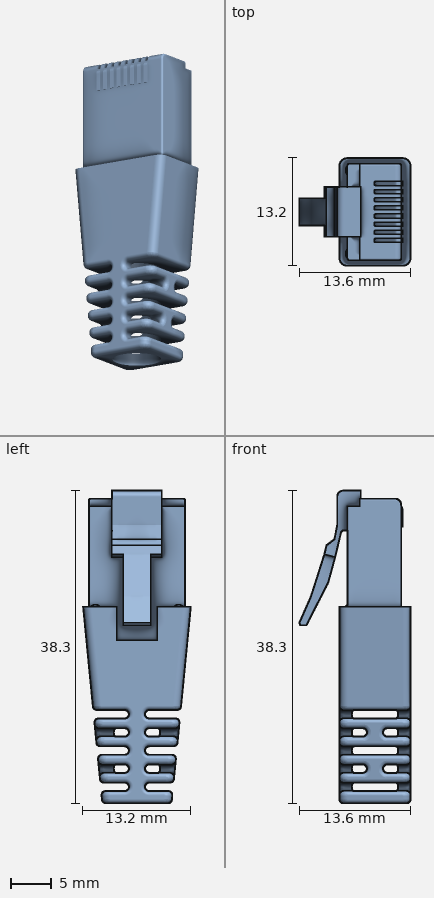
import cadquery as cq


BOOT_DEPTH = 8.72
BOOT_BASE_WIDTH = 8.5
BOOT_TOP_WIDTH = 13.2
BOOT_HEIGHT = 24.05
BOOT_CORNER = 1.0
NOTCH_WIDTH = 4.97
NOTCH_FLOOR = 19.95

SLOT_COUNT = 5
SLOT_HEIGHT = 1.0
SLOT_PITCH = 2.2
FIRST_SLOT_Z = 2.03
SPINE_HALF = 1.0
RIB_FILLET = 0.55
BORE_RADIUS = 3.0

PLUG_BACK_X = -3.35
PLUG_FRONT_X = 3.2
PLUG_WIDTH = 11.8
PLUG_TOP = 37.25
PLUG_FRONT_FILLET = 0.75
PLUG_EDGE_FILLET = 0.23
SHELF_X = -1.85
SHELF_Z = 36.35
BUMP_RADIUS = 0.88
BUMP_Y = 5.1
BUMP_INSET = 0.5

CONTACT_COUNT = 8
CONTACT_PITCH = 1.0
CONTACT_WIDTH = 0.5
CONTACT_BACK_X = -0.1
CONTACT_FRONT_X = 3.35
CONTACT_TOP = 36.53
CONTACT_BOTTOM = 33.8
CONTACT_NOSE = 0.6
GROOVE_END_FILLET = 0.23

CLIP_TOP = 38.25
CLIP_WIDTH = 6.12
LEVER_WIDTH = 3.35
CLIP_BACK_X = -4.63
CLIP_FRONT_X = -1.72
CLIP_CORNER = 0.75
CLIP_ROOT_FILLET = 0.4
HINGE_UNDER_Z = 33.35
HINGE_INNER_X = -3.85
HINGE_INNER = (-4.17, 32.97)
HEAD_BEND = (CLIP_BACK_X, 34.05)
CATCH_INNER = (-4.97, 32.3)
CATCH_OUTER = (-5.93, 31.55)
LEVER_JOINT_OUTER = (-6.2, 30.45)
LEVER_JOINT_INNER = (-4.85, 30.1)
LEVER_OUTER_BEND = (-7.85, 25.3)
LEVER_TIP = [(-9.25, 22.07), (-9.15, 21.75), (-8.38, 21.75)]
LEVER_INNER_BEND = (-5.7, 27.0)


def box(x_min, x_max, width, z_min, z_max):
    """Box centred on Y = 0."""
    return (
        cq.Workplane("XY")
        .box(x_max - x_min, width, z_max - z_min, centered=(False, True, False))
        .translate((x_min, 0, z_min))
    )


def slot_prism(plane, z):
    """Pair of slots, both ending in half rounds beside the spine and open to the outside."""
    radius = SLOT_HEIGHT / 2
    reach = BOOT_TOP_WIDTH
    pair = cq.Workplane(plane)
    for side in (1, -1):
        inner = side * (SPINE_HALF + radius)
        pair = (
            pair.moveTo(inner, z + radius)
            .threePointArc((side * SPINE_HALF, z), (inner, z - radius))
            .lineTo(side * reach, z - radius)
            .lineTo(side * reach, z + radius)
            .close()
        )
    return pair.extrude(BOOT_TOP_WIDTH, both=True)


def is_rib_edge(edge):
    """True for the outer edges of the slots and of the lower end."""
    middle = edge.positionAt(0.5)
    outermost = max(abs(middle.x), abs(middle.y))
    on_skin = outermost > BOOT_BASE_WIDTH / 2 - BOOT_CORNER / 2
    rising_line = edge.geomType() == "LINE" and abs(edge.tangentAt(0.5).z) > 0.5
    below_shell = middle.z < FIRST_SLOT_Z + SLOT_COUNT * SLOT_PITCH
    return on_skin and below_shell and not rising_line


def make_boot():
    half_base = BOOT_BASE_WIDTH / 2
    half_top = BOOT_TOP_WIDTH / 2
    boot = (
        cq.Workplane("YZ")
        .polyline([(-half_base, 0), (half_base, 0), (half_top, BOOT_HEIGHT), (-half_top, BOOT_HEIGHT)])
        .close()
        .extrude(BOOT_DEPTH / 2, both=True)
    )
    boot = boot.faces("<Y or >Y").edges("<X or >X").fillet(BOOT_CORNER)
    for level in range(SLOT_COUNT):
        z = FIRST_SLOT_Z + level * SLOT_PITCH
        slots = slot_prism("YZ", z)
        if level % 2 == 1:
            slots = slots.intersect(slot_prism("XZ", z))
        boot = boot.cut(slots)
    rib_edges = [edge for edge in boot.edges().vals() if is_rib_edge(edge)]
    boot = boot.newObject(rib_edges).fillet(RIB_FILLET)
    boot = boot.cut(cq.Workplane("XY").circle(BORE_RADIUS).extrude(NOTCH_FLOOR))
    return boot.cut(box(-BOOT_DEPTH, PLUG_BACK_X, NOTCH_WIDTH, NOTCH_FLOOR, BOOT_HEIGHT))


def make_plug():
    plug = box(PLUG_BACK_X, PLUG_FRONT_X, PLUG_WIDTH, NOTCH_FLOOR, PLUG_TOP)
    plug = plug.edges(">X and >Z").fillet(PLUG_FRONT_FILLET)
    plug = plug.faces("<Y or >Y").edges().fillet(PLUG_EDGE_FILLET)
    plug = plug.cut(box(PLUG_BACK_X, SHELF_X, PLUG_WIDTH, SHELF_Z, PLUG_TOP))
    for y in (-BUMP_Y, BUMP_Y):
        centre = (PLUG_BACK_X + BUMP_INSET, y, BOOT_HEIGHT - BUMP_INSET)
        plug = plug.union(cq.Workplane("XY").sphere(BUMP_RADIUS).translate(centre))
    return plug


def add_contacts(plug):
    contact = box(CONTACT_BACK_X, CONTACT_FRONT_X, CONTACT_WIDTH, CONTACT_BOTTOM, CONTACT_TOP)
    groove = box(CONTACT_BACK_X, CONTACT_FRONT_X, CONTACT_WIDTH, CONTACT_TOP, PLUG_TOP)
    groove = groove.edges("|Z and <X").fillet(GROOVE_END_FILLET)
    contact = contact.edges(">X and >Z").fillet(CONTACT_NOSE)
    for index in range(CONTACT_COUNT):
        y = (index - (CONTACT_COUNT - 1) / 2) * CONTACT_PITCH
        plug = plug.cut(groove.translate((0, y, 0))).union(contact.translate((0, y, 0)))
    return plug


def make_clip():
    head = (
        cq.Workplane("XZ")
        .moveTo(CLIP_FRONT_X, CLIP_TOP)
        .lineTo(CLIP_BACK_X + CLIP_CORNER, CLIP_TOP)
        .radiusArc((CLIP_BACK_X, CLIP_TOP - CLIP_CORNER), -CLIP_CORNER)
        .lineTo(*HEAD_BEND)
        .lineTo(*CATCH_INNER)
        .lineTo(*CATCH_OUTER)
        .lineTo(*LEVER_JOINT_OUTER)
        .lineTo(*LEVER_JOINT_INNER)
        .lineTo(*HINGE_INNER)
        .radiusArc((HINGE_INNER_X, HINGE_UNDER_Z), CLIP_ROOT_FILLET)
        .lineTo(PLUG_BACK_X, HINGE_UNDER_Z)
        .lineTo(PLUG_BACK_X, SHELF_Z)
        .lineTo(SHELF_X, SHELF_Z)
        .lineTo(SHELF_X, PLUG_TOP)
        .lineTo(CLIP_FRONT_X, PLUG_TOP)
        .close()
        .extrude(CLIP_WIDTH / 2, both=True)
    )
    lever = (
        cq.Workplane("XZ")
        .polyline([LEVER_JOINT_OUTER, LEVER_OUTER_BEND, *LEVER_TIP, LEVER_INNER_BEND, LEVER_JOINT_INNER])
        .close()
        .extrude(LEVER_WIDTH / 2, both=True)
    )
    return head.union(lever)


result = make_boot().union(add_contacts(make_plug())).union(make_clip())